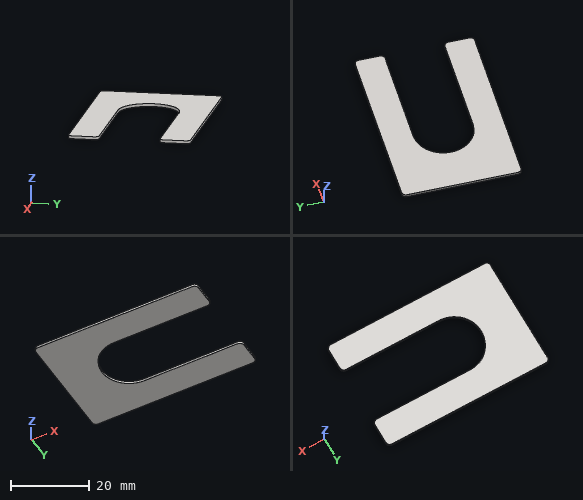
import cadquery as cq

length = 47.75
width = 31.75
thickness = 0.8
corner_radius = 1.2

slot_width = 15.75
back_web = 11.2
slot_radius = slot_width / 2
slot_end_center_x = -length / 2 + back_web + slot_radius
slot_open_x = length / 2


def make_plate():
    return cq.Workplane("XY").box(length, width, thickness)


def make_slot():
    return (
        cq.Workplane("XY", origin=(0, 0, -thickness / 2))
        .moveTo(slot_open_x, -slot_radius)
        .lineTo(slot_end_center_x, -slot_radius)
        .threePointArc(
            (slot_end_center_x - slot_radius, 0),
            (slot_end_center_x, slot_radius),
        )
        .lineTo(slot_open_x, slot_radius)
        .close()
        .extrude(thickness)
    )


slotted_plate = make_plate().cut(make_slot())
left_corners = slotted_plate.faces("<X").edges("|Z")
right_corners = slotted_plate.faces(">X").edges("|Z")
result = slotted_plate.newObject(left_corners.vals() + right_corners.vals()).fillet(corner_radius)